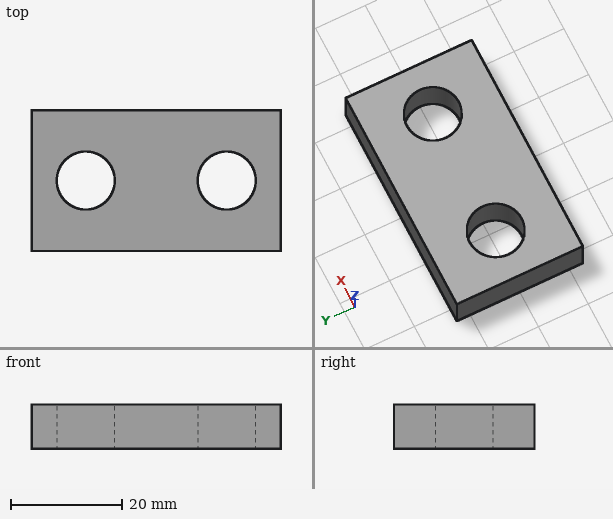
import cadquery as cq

length = 44.95
width = 25.4
thickness = 8.0

hole_diameter = 10.45
hole_spacing = width

plate = cq.Workplane("XY").box(length, width, thickness)

result = (
    plate.faces(">Z")
    .workplane()
    .rarray(hole_spacing, 0.45, 2, 1)
    .hole(hole_diameter)
)